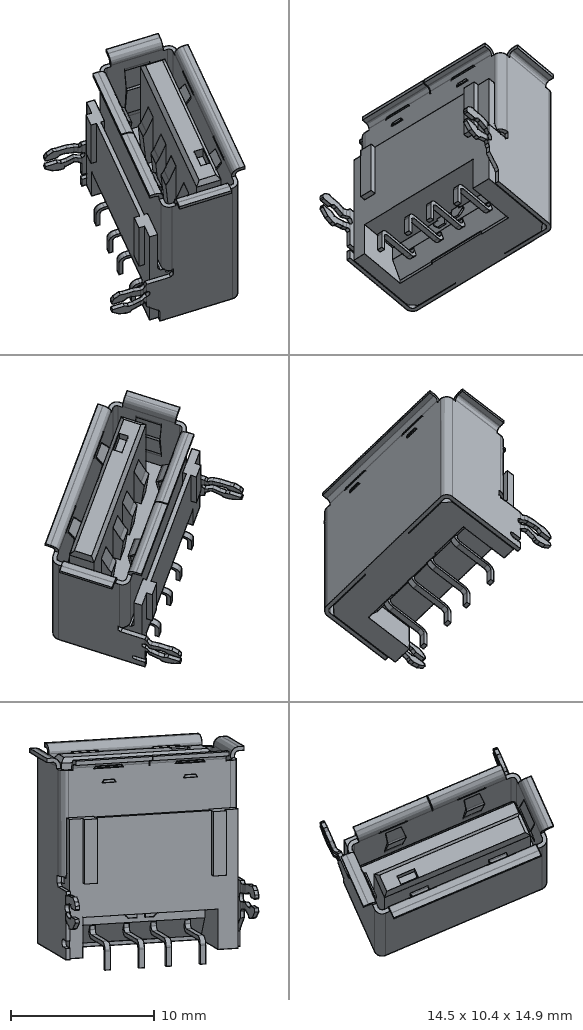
import cadquery as cq
import math


SHEET = 0.3
SHELL_HALF_X = 6.55
SHELL_HALF_Y = 2.85
SHELL_TOP = 13.21
CORNER_R = 0.6
INNER_X = SHELL_HALF_X - SHEET
INNER_Y = SHELL_HALF_Y - SHEET

LIP_TOP = 13.99
LIP_R = 0.61
LIP_REACH = 1.0
LIP_LONG = 11.25
LIP_SHORT = 3.9
SEAM = 0.06
SLIT_HALF = 1.09
SLIT_BASE = 13.23
SLIT_TOP = 13.42
SLIT_TAPER = 0.12

SPRING_X = 2.99
SPRING_W = 1.37
SPRING_SIDE_W = 1.87
SPRING_T = 0.18
SPRING_TIP_W = 1.16
SPRING_KNEE = 0.12
SPRING_TIP_Z = 12.2
CREST_Z_LONG_WALL = 11.6
CREST_Z_SHORT_WALL = 10.42
SPRING_ROOT_Z = 6.7
CREST_LONG_WALL = 0.67
CREST_SHORT_WALL = 0.46
NUB_BASE = 1.01
NUB_TOP = 0.75
NUB_HEIGHT = 0.21
NUB_OUT = 0.09

FRONT_WALL_BASE = 5.65
CHEEK_TOP = 4.88
CHEEK_BACK_Y = -2.13
CHEEK_FRONT_Y = -4.14
CHEEK_BEVEL = 0.22
CHEEK_NOTCH_Z = 1.09
CHEEK_NOTCH_W = 0.54
CHEEK_NOTCH_Y = -3.2
RELIEF_Y = -3.15
RELIEF_BASE = 1.1
RELIEF_BEVEL = 0.12
RELIEF_TOP = 2.23

LOCK_OFFSET = 0.2
LOCK_BEND_Y = -4.65
LOCK_TIP_Y = -6.82
FORK_Z = 3.7
FORK_W = 0.62
FORK_END_Y = -3.9

BODY_HALF_X = 6.2
BODY_FRONT_Y = -3.8
BODY_BACK_Y = 2.51
BODY_BEVEL = 0.55
FLOOR_Z = 5.12
LEDGE_Z = 5.58
APRON_TOP = 9.92
APRON_T = 0.6
APRON_BACK_Y = BODY_FRONT_Y + APRON_T
APRON_BEVEL_Y = 0.21
APRON_BEVEL_Z = 0.37
APRON_THIN = 0.33
RIB_INNER_X = 4.25
RIB_W = 0.95
RIB_OUT = 0.42
RIB_BASE = 5.34

CHAMBER_LEFT_X = -5.21
CHAMBER_RIGHT_X = 4.73
CHAMBER_TOP = 2.89
CHAMBER_BACK_Y = -0.79
RAMP_TOP = 1.71
RAMP_TILT = 30
FOOT_Z = 0.28
FOOT_TAB_HALF_X = 2.26
FOOT_TAB_OUT = 0.07
HOOK_OUT = 0.15

TONGUE_HALF_X = 5.57
TONGUE_FRONT_Y = -0.03
TONGUE_BACK_Y = 1.8
TONGUE_TOP = 13.54
TONGUE_CHAMFER_Z = 0.35
TONGUE_CHAMFER_XY = 0.28
SOCKET_X = 3.51
SOCKET_Y = 1.13
SOCKET_SIZE_X = 1.32
SOCKET_SIZE_Y = 0.65
SOCKET_DEPTH = 0.9

PIN_X = (-3.5, -1.0, 1.0, 3.5)
PIN_W = 0.4
PIN_T = 0.3
PIN_TIP_Z = -0.9
PIN_RUN_TOP = 1.05
PIN_FRONT_Y = -4.18
PIN_STEM_Y = CHAMBER_BACK_Y + 0.05
PIN_INNER_R = 0.3
BLADE_W = 0.97
BLADE_TOP = 10.42
BLADE_CREST_Z = 8.93
BLADE_HEEL_Z = 8.48
BLADE_STEP_Y = -0.55
BLADE_CREST_Y = -0.79


def span(x0, x1, y0, y1, z0, z1):
    """Box between two opposite corners."""
    return cq.Workplane("XY").box(x1 - x0, y1 - y0, z1 - z0, centered=False).translate((x0, y0, z0))


def extrude_x(points, x0, x1):
    """Outline of (y, z) points, extruded along X from x0 to x1."""
    return cq.Workplane("YZ").workplane(offset=x0).polyline(points).close().extrude(x1 - x0)


def extrude_y(points, y0, y1):
    """Outline of (x, z) points, extruded along Y from y0 to y1."""
    return cq.Workplane("XZ").workplane(offset=-y1).polyline(points).close().extrude(y1 - y0)


def both_sides(solid):
    """The solid together with its mirror image across X = 0."""
    return solid.union(solid.mirror("YZ"))


def on_wall(solid, wall_distance, turn):
    """Move a solid made for a wall facing +X onto the wall at the given turn about Z."""
    return solid.translate((wall_distance, 0, 0)).rotate((0, 0, 0), (0, 0, 1), turn)


def lip(width):
    """Outward flare; its wall face starts at X = 0 and it leans towards +X."""
    bend_z = LIP_TOP - LIP_R
    profile = (
        cq.Workplane("XZ", origin=(0, width / 2, 0))
        .moveTo(0, SHELL_TOP)
        .lineTo(0, bend_z)
        .tangentArcPoint((LIP_R, LIP_TOP), relative=False)
        .lineTo(LIP_REACH, LIP_TOP)
        .lineTo(LIP_REACH, LIP_TOP - SHEET)
        .lineTo(LIP_R, LIP_TOP - SHEET)
        .tangentArcPoint((SHEET, bend_z), relative=False)
        .lineTo(SHEET, SHELL_TOP)
        .close()
    )
    return profile.extrude(width)


def spring(width, tip_width, crest, crest_z):
    """Bent strip on the inside of a wall whose inner face is at X = 0, narrowing to its tip."""
    tip_top = SPRING_TIP_Z + NUB_HEIGHT
    side = [
        (0, tip_top),
        (SPRING_KNEE - crest, crest_z + SPRING_KNEE),
        (-crest, crest_z),
        (0, SPRING_ROOT_Z),
        (0, SPRING_ROOT_Z + 2 * SPRING_T),
        (SPRING_T - crest, crest_z),
        (0, SPRING_TIP_Z),
    ]
    face = [
        (-width / 2, SPRING_ROOT_Z),
        (width / 2, SPRING_ROOT_Z),
        (width / 2, crest_z),
        (tip_width / 2, tip_top),
        (-tip_width / 2, tip_top),
        (-width / 2, crest_z),
    ]
    return extrude_y(side, -width / 2, width / 2).intersect(extrude_x(face, -crest, 0))


def nub():
    """Spring tip that pokes out of a long wall whose inner face is at X = 0."""
    top_z = SPRING_TIP_Z + NUB_HEIGHT
    outline = [
        (-NUB_BASE / 2, SPRING_TIP_Z),
        (NUB_BASE / 2, SPRING_TIP_Z),
        (NUB_TOP / 2, top_z),
        (-NUB_TOP / 2, top_z),
    ]
    return extrude_x(outline, 0, SHEET + NUB_OUT)


def make_shell():
    tube = (
        cq.Workplane("XY").rect(2 * SHELL_HALF_X, 2 * SHELL_HALF_Y).extrude(SHELL_TOP)
        .edges("|Z").fillet(CORNER_R)
    )
    bore = (
        cq.Workplane("XY").rect(2 * INNER_X, 2 * INNER_Y).extrude(SHELL_TOP)
        .edges("|Z").fillet(CORNER_R - SHEET)
    )
    shell = tube.cut(bore)
    shell = shell.cut(span(-SHELL_HALF_X, SHELL_HALF_X, -SHELL_HALF_Y, CHEEK_BACK_Y, 0, FRONT_WALL_BASE))

    for turn in (0, 180):
        shell = shell.union(on_wall(lip(LIP_SHORT), INNER_X, turn))
        side_spring = spring(SPRING_SIDE_W, SPRING_SIDE_W, CREST_SHORT_WALL, CREST_Z_SHORT_WALL)
        shell = shell.union(on_wall(side_spring, INNER_X, turn))
    for turn in (90, -90):
        shell = shell.union(on_wall(lip(LIP_LONG), INNER_Y, turn))
        for offset in (-SPRING_X, SPRING_X):
            strip = spring(SPRING_W, SPRING_TIP_W, CREST_LONG_WALL, CREST_Z_LONG_WALL)
            shell = shell.union(on_wall(strip.union(nub()).translate((0, offset, 0)), INNER_Y, turn))

    seam_front = -INNER_Y - LIP_REACH
    shell = shell.cut(span(-SEAM / 2, SEAM / 2, seam_front, -INNER_Y, SHELL_TOP, LIP_TOP))

    slit = [
        (-SLIT_HALF, SLIT_BASE),
        (SLIT_HALF, SLIT_BASE),
        (SLIT_HALF - SLIT_TAPER, SLIT_TOP),
        (SLIT_TAPER - SLIT_HALF, SLIT_TOP),
    ]
    cutter = extrude_y(slit, -SHELL_HALF_Y, SHELL_HALF_Y)
    for offset in (-SPRING_X, SPRING_X):
        shell = shell.cut(cutter.translate((offset, 0, 0)))
    return shell


def make_cheek(foot):
    """Side sheet on the +X side, in front of the shell, with its forked board lock.

    foot lists the (y, z) points of the front edge below the lock, from the bottom up.
    """
    plate_outline = [(CHEEK_BACK_Y, 0)] + foot + [
        (CHEEK_FRONT_Y, CHEEK_TOP),
        (CHEEK_BACK_Y - CHEEK_BEVEL, CHEEK_TOP),
        (CHEEK_BACK_Y, CHEEK_TOP + CHEEK_BEVEL),
    ]
    plate = extrude_x(plate_outline, INNER_X, SHELL_HALF_X)
    outer_x = SHELL_HALF_X + LOCK_OFFSET

    upper_prong = [
        (CHEEK_FRONT_Y, CHEEK_TOP), (-4.3, 4.67), (LOCK_BEND_Y, 4.67), (-5.16, 4.8), (-5.94, 4.8),
        (-6.19, 4.88), (-6.64, 4.61), (LOCK_TIP_Y, 4.33), (LOCK_TIP_Y, 4.1), (-6.73, 4.02), (-5.94, 4.02),
        (-5.67, 4.24), (-5.34, 4.24), (LOCK_BEND_Y, 4.02), (CHEEK_FRONT_Y, 4.02),
    ]
    lower_prong = [
        (CHEEK_FRONT_Y, 3.4), (LOCK_BEND_Y, 3.4), (-5.16, 3.23), (-5.58, 3.2), (-5.88, 3.4),
        (-6.75, 3.4), (LOCK_TIP_Y, 3.12), (-6.28, 2.65), (-5.76, 2.47), (-5.43, 2.47), (-5.31, 2.66),
        (LOCK_BEND_Y, 2.89), (-4.32, 2.89), (CHEEK_FRONT_Y, 2.71),
    ]
    prongs = extrude_x(upper_prong, INNER_X, outer_x).union(extrude_x(lower_prong, INNER_X, outer_x))

    bend_mid_y = (CHEEK_FRONT_Y + LOCK_BEND_Y) / 2
    band = (
        cq.Workplane("XY")
        .moveTo(SHELL_HALF_X, CHEEK_BACK_Y)
        .lineTo(SHELL_HALF_X, CHEEK_FRONT_Y)
        .tangentArcPoint((SHELL_HALF_X + LOCK_OFFSET / 2, bend_mid_y), relative=False)
        .tangentArcPoint((outer_x, LOCK_BEND_Y), relative=False)
        .lineTo(outer_x, LOCK_TIP_Y)
        .lineTo(outer_x - SHEET, LOCK_TIP_Y)
        .lineTo(outer_x - SHEET, LOCK_BEND_Y)
        .tangentArcPoint((INNER_X + LOCK_OFFSET / 2, bend_mid_y), relative=False)
        .tangentArcPoint((INNER_X, CHEEK_FRONT_Y), relative=False)
        .lineTo(INNER_X, CHEEK_BACK_Y)
        .close().extrude(CHEEK_TOP)
    )
    cheek = plate.union(prongs.intersect(band))
    return cheek.cut(cheek_slot(FORK_Z, FORK_W, FORK_END_Y))


def cheek_slot(slot_z, width, end_y):
    """Cutter for a round-ended slot that opens through the front edge of the cheek."""
    round_y = end_y - width / 2
    slot_end = cq.Workplane("YZ", origin=(INNER_X, round_y, slot_z)).circle(width / 2).extrude(SHEET)
    if round_y > CHEEK_FRONT_Y:
        mouth = span(INNER_X, SHELL_HALF_X, CHEEK_FRONT_Y, round_y, slot_z - width / 2, slot_z + width / 2)
        slot_end = slot_end.union(mouth)
    return slot_end


def make_cheeks():
    """Left cheek with a slotted foot, right cheek with its foot cut back."""
    straight_foot = [(CHEEK_FRONT_Y, 0)]
    relieved_foot = [
        (RELIEF_Y, 0),
        (RELIEF_Y, RELIEF_BASE),
        (RELIEF_Y - RELIEF_BEVEL, RELIEF_BASE + 2 * RELIEF_BEVEL),
        (CHEEK_FRONT_Y, RELIEF_TOP),
    ]
    notch = cheek_slot(CHEEK_NOTCH_Z, CHEEK_NOTCH_W, CHEEK_NOTCH_Y)
    left = make_cheek(straight_foot).cut(notch).mirror("YZ")
    return left.union(make_cheek(relieved_foot))


def make_housing():
    body = (
        span(-BODY_HALF_X, BODY_HALF_X, BODY_FRONT_Y, BODY_BACK_Y, 0, FLOOR_Z)
        .edges("|Z and >Y").chamfer(BODY_BEVEL)
    )

    apron = extrude_x([
        (BODY_FRONT_Y, FLOOR_Z),
        (-INNER_Y, FLOOR_Z),
        (-INNER_Y, LEDGE_Z),
        (APRON_BACK_Y + APRON_BEVEL_Y, LEDGE_Z),
        (APRON_BACK_Y, LEDGE_Z + APRON_BEVEL_Z),
        (APRON_BACK_Y, APRON_TOP),
        (BODY_FRONT_Y, APRON_TOP),
    ], -BODY_HALF_X, BODY_HALF_X)
    apron = apron.cut(span(-RIB_INNER_X, RIB_INNER_X, BODY_FRONT_Y + APRON_THIN, APRON_BACK_Y,
                           LEDGE_Z + APRON_BEVEL_Z, APRON_TOP))
    rib = span(RIB_INNER_X, RIB_INNER_X + RIB_W, BODY_FRONT_Y - RIB_OUT, BODY_FRONT_Y, RIB_BASE, APRON_TOP)

    foot_y = CHAMBER_BACK_Y + (RAMP_TOP - FOOT_Z) * math.tan(math.radians(RAMP_TILT))
    chamber = extrude_x([
        (BODY_FRONT_Y, 0),
        (BODY_FRONT_Y, CHAMBER_TOP),
        (CHAMBER_BACK_Y, CHAMBER_TOP),
        (CHAMBER_BACK_Y, RAMP_TOP),
        (foot_y, FOOT_Z),
        (foot_y, 0),
    ], CHAMBER_LEFT_X, CHAMBER_RIGHT_X)
    foot_tab = span(-FOOT_TAB_HALF_X, FOOT_TAB_HALF_X, foot_y - FOOT_TAB_OUT, foot_y, 0, FOOT_Z)

    back_key = span(-FOOT_TAB_HALF_X, FOOT_TAB_HALF_X, BODY_BACK_Y, INNER_Y, 0, FOOT_Z)

    hook = extrude_y([
        (0.31, CHAMBER_TOP), (0.31, 2.04), (0.94, 2.04), (1.34, 2.47), (1.34, 2.62), (1.24, 2.71),
        (0.98, 2.71), (0.98, CHAMBER_TOP),
    ], CHAMBER_BACK_Y - HOOK_OUT, CHAMBER_BACK_Y)

    tongue = (
        span(-TONGUE_HALF_X, TONGUE_HALF_X, TONGUE_FRONT_Y, TONGUE_BACK_Y, FLOOR_Z, TONGUE_TOP)
        .faces(">Z").chamfer(TONGUE_CHAMFER_Z, TONGUE_CHAMFER_XY)
    )
    socket = (
        cq.Workplane("XY", origin=(SOCKET_X, SOCKET_Y, TONGUE_TOP))
        .rect(SOCKET_SIZE_X, SOCKET_SIZE_Y).extrude(-SOCKET_DEPTH)
    )

    return (
        body.union(apron).union(both_sides(rib)).cut(chamber)
        .union(foot_tab).union(back_key).union(both_sides(hook)).union(tongue.cut(socket))
    )


def make_contact():
    """Blade on the tongue and the doubly bent solder tail, centred on X = 0."""
    blade = extrude_x([
        (TONGUE_FRONT_Y, FLOOR_Z),
        (TONGUE_FRONT_Y, BLADE_TOP),
        (BLADE_STEP_Y, BLADE_CREST_Z),
        (BLADE_CREST_Y, BLADE_HEEL_Z),
        (BLADE_STEP_Y, FLOOR_Z),
    ], -BLADE_W / 2, BLADE_W / 2)

    outer_r = PIN_INNER_R + PIN_T
    run_base = PIN_RUN_TOP - PIN_T
    tail = (
        cq.Workplane("YZ", origin=(-PIN_W / 2, 0, 0))
        .moveTo(PIN_STEM_Y, CHAMBER_TOP)
        .lineTo(PIN_STEM_Y, PIN_RUN_TOP + PIN_INNER_R)
        .tangentArcPoint((PIN_STEM_Y - PIN_INNER_R, PIN_RUN_TOP), relative=False)
        .lineTo(PIN_FRONT_Y + outer_r, PIN_RUN_TOP)
        .tangentArcPoint((PIN_FRONT_Y, PIN_RUN_TOP - outer_r), relative=False)
        .lineTo(PIN_FRONT_Y, PIN_TIP_Z)
        .lineTo(PIN_FRONT_Y + PIN_T, PIN_TIP_Z)
        .lineTo(PIN_FRONT_Y + PIN_T, run_base - PIN_INNER_R)
        .tangentArcPoint((PIN_FRONT_Y + outer_r, run_base), relative=False)
        .lineTo(PIN_STEM_Y - PIN_INNER_R, run_base)
        .tangentArcPoint((PIN_STEM_Y + PIN_T, PIN_RUN_TOP + PIN_INNER_R), relative=False)
        .lineTo(PIN_STEM_Y + PIN_T, CHAMBER_TOP)
        .close().extrude(PIN_W)
    )
    return blade.union(tail)


result = make_shell().union(make_cheeks()).union(make_housing())
for pin_x in PIN_X:
    result = result.union(make_contact().translate((pin_x, 0, 0)))